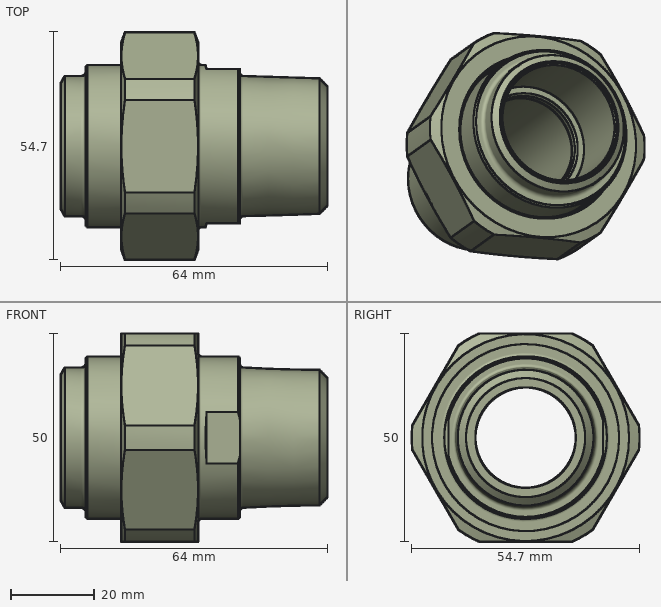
import cadquery as cq
import math


overall_length = 64.0
sleeve_shoulder_x = 6.0
nut_start_x = 14.5
nut_end_x = 33.0
flange_start_x = 18.5
bore_step_x = 22.0
joint_x = 24.5
flat_start_x = 35.0
body_end_x = 43.0
taper_end_x = 62.0

neck_radius = 33.7 / 2
collar_radius = 39.0 / 2
flange_radius = 43.0 / 2
sleeve_bore_radius = 28.5 / 2
sleeve_throat_radius = 24.2 / 2
neck_fillet = 1.0
collar_chamfer = 0.5
weld_face_radius = 15.1
weld_bevel_angle = 30.0
mouth_chamfer = 0.45
throat_chamfer = 0.55

across_flats = 50.0
hexagon_turn = 30.0
corner_radius = 54.68 / 2
nut_bore_radius = 39.5 / 2
nut_thread_radius = 44.85 / 2
nut_mouth_chamfer = 0.5
nut_face_radius = 24.8
nut_chamfer_angle = 20.0

tail_body_radius = 39.0 / 2
tail_bore_radius = 24.0 / 2
taper_start_radius = 33.7 / 2
tail_fillet = 0.75
tail_body_chamfer = 0.5
tail_end_chamfer = 2.0
thread_taper = 1 / 16
tail_flat_width = 37.0
flat_wall_angle = 15.0


def fillet_middle(center_x, center_radius, fillet, side):
    """Midpoint of a root fillet; side is -1 for a shoulder at lower X, 1 at higher X."""
    reach = fillet * math.sqrt(0.5)
    return center_x + side * reach, center_radius - reach


def revolve_about_x(profile):
    """Turn a closed (X, radius) profile into a solid around the X axis."""
    return profile.close().revolve(360, (0, 0, 0), (1, 0, 0))


def make_sleeve():
    """Weld sleeve: beveled neck, collar and a flange held by the nut."""
    bevel_length = (neck_radius - weld_face_radius) * math.tan(math.radians(weld_bevel_angle))
    fillet_x = sleeve_shoulder_x - neck_fillet
    fillet_radius = neck_radius + neck_fillet
    profile = (
        cq.Workplane("XY")
        .moveTo(0, sleeve_bore_radius + mouth_chamfer)
        .lineTo(0, weld_face_radius)
        .lineTo(bevel_length, neck_radius)
        .lineTo(fillet_x, neck_radius)
        .threePointArc(
            fillet_middle(fillet_x, fillet_radius, neck_fillet, 1),
            (sleeve_shoulder_x, fillet_radius),
        )
        .lineTo(sleeve_shoulder_x, collar_radius - collar_chamfer)
        .lineTo(sleeve_shoulder_x + collar_chamfer, collar_radius)
        .lineTo(flange_start_x, collar_radius)
        .lineTo(flange_start_x, flange_radius)
        .lineTo(joint_x, flange_radius)
        .lineTo(joint_x, sleeve_throat_radius)
        .lineTo(bore_step_x + throat_chamfer, sleeve_throat_radius)
        .lineTo(bore_step_x, sleeve_throat_radius + throat_chamfer)
        .lineTo(bore_step_x, sleeve_bore_radius)
        .lineTo(mouth_chamfer, sleeve_bore_radius)
    )
    return revolve_about_x(profile)


def make_nut_envelope():
    """Round bar with both ends coned, which trims the hexagon corners."""
    chamfer_length = (corner_radius - nut_face_radius) * math.tan(math.radians(nut_chamfer_angle))
    profile = (
        cq.Workplane("XY")
        .moveTo(nut_start_x, 0)
        .lineTo(nut_start_x, nut_face_radius)
        .lineTo(nut_start_x + chamfer_length, corner_radius)
        .lineTo(nut_end_x - chamfer_length, corner_radius)
        .lineTo(nut_end_x, nut_face_radius)
        .lineTo(nut_end_x, 0)
    )
    return revolve_about_x(profile)


def make_nut():
    """Hexagon nut with corners on Y, a lip behind the flange and a thread bore."""
    hexagon = (
        cq.Workplane("YZ", origin=(nut_start_x, 0, 0))
        .polygon(6, across_flats, circumscribed=True)
        .extrude(nut_end_x - nut_start_x)
        .rotate((0, 0, 0), (1, 0, 0), hexagon_turn)
    )
    bore_profile = (
        cq.Workplane("XY")
        .moveTo(nut_start_x, 0)
        .lineTo(nut_start_x, nut_bore_radius + nut_mouth_chamfer)
        .lineTo(nut_start_x + nut_mouth_chamfer, nut_bore_radius)
        .lineTo(flange_start_x, nut_bore_radius)
        .lineTo(flange_start_x, nut_thread_radius)
        .lineTo(nut_end_x, nut_thread_radius)
        .lineTo(nut_end_x, 0)
    )
    return hexagon.intersect(make_nut_envelope()).cut(revolve_about_x(bore_profile))


def make_flat_cutter(side):
    """Tool for one wrench flat: open at the body end, with a leaning end wall."""
    flat_y = tail_flat_width / 2
    wall_lean = (tail_body_radius - flat_y) * math.tan(math.radians(flat_wall_angle))
    return (
        cq.Workplane("XY")
        .moveTo(flat_start_x, side * flat_y)
        .lineTo(flat_start_x - wall_lean, side * tail_body_radius)
        .lineTo(body_end_x, side * tail_body_radius)
        .lineTo(body_end_x, side * flat_y)
        .close()
        .extrude(tail_body_radius, both=True)
    )


def make_tail():
    """Threaded tail: part inside the nut, body with two flats, tapered end."""
    body_fillet_x = nut_end_x + tail_fillet
    body_fillet_radius = tail_body_radius + tail_fillet
    taper_start_x = body_end_x + tail_fillet
    taper_fillet_radius = taper_start_radius + tail_fillet
    taper_end_radius = taper_start_radius - (taper_end_x - taper_start_x) * thread_taper / 2
    profile = (
        cq.Workplane("XY")
        .moveTo(joint_x, tail_bore_radius)
        .lineTo(joint_x, nut_thread_radius)
        .lineTo(nut_end_x, nut_thread_radius)
        .lineTo(nut_end_x, body_fillet_radius)
        .threePointArc(
            fillet_middle(body_fillet_x, body_fillet_radius, tail_fillet, -1),
            (body_fillet_x, tail_body_radius),
        )
        .lineTo(body_end_x - tail_body_chamfer, tail_body_radius)
        .lineTo(body_end_x, tail_body_radius - tail_body_chamfer)
        .lineTo(body_end_x, taper_fillet_radius)
        .threePointArc(
            fillet_middle(taper_start_x, taper_fillet_radius, tail_fillet, -1),
            (taper_start_x, taper_start_radius),
        )
        .lineTo(taper_end_x, taper_end_radius)
        .lineTo(overall_length, taper_end_radius - tail_end_chamfer)
        .lineTo(overall_length, tail_bore_radius)
    )
    tail = revolve_about_x(profile)
    for side in (-1, 1):
        tail = tail.cut(make_flat_cutter(side))
    return tail


sleeve = make_sleeve()
nut = make_nut()
tail = make_tail()

result = cq.Compound.makeCompound([sleeve.val(), nut.val(), tail.val()])